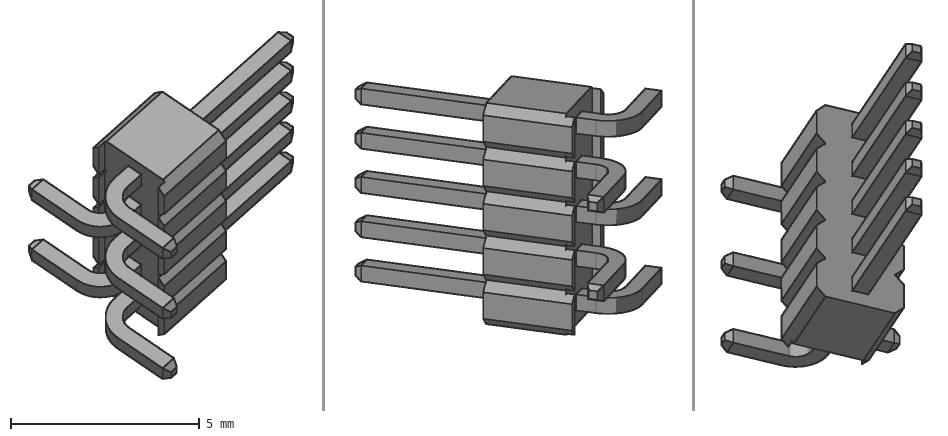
import cadquery as cq
import math

pin_count = 5
overall_length = 7.77
overall_width = 5.0
overall_height = 6.35
pitch = overall_height / pin_count

housing_width = 2.5
housing_depth = 2.5
edge_chamfer = 0.26
channel_depth = 0.25
channel_wall = 0.2

wire = 0.46
inner_bend_radius = 0.5
tip_length = 0.2
tip_width = 0.24
mating_length = 4.0

mating_tip_y = housing_depth + mating_length
tail_y = mating_tip_y - overall_length + wire / 2
tail_tip_x = overall_width / 2
bend_radius = inner_bend_radius + wire / 2
tip_taper = math.degrees(math.atan((wire - tip_width) / 2 / tip_length))

position_heights = [(i - (pin_count - 1) / 2) * pitch for i in range(pin_count)]


def housing_segment(z):
    """Block for one position, its four long edges bevelled along Y."""
    return (
        cq.Workplane("XY")
        .box(housing_width, housing_depth, pitch)
        .edges("|Y")
        .chamfer(edge_chamfer)
        .translate((0, housing_depth / 2, z))
    )


def make_housing():
    """Fused row of segments with a front channel and a square hole per pin."""
    body = housing_segment(position_heights[0])
    for z in position_heights[1:]:
        body = body.union(housing_segment(z))
    body = body.clean()

    channel = cq.Workplane("XY").box(
        housing_width - 2 * channel_wall, 2 * channel_depth, overall_height
    )
    body = body.cut(channel)

    for z in position_heights:
        hole = cq.Workplane("XY").box(wire, housing_depth, wire)
        hole = hole.translate((0, housing_depth / 2, z))
        body = body.cut(hole)
    return body


def pin_tip(plane):
    """Tapered end of the wire, starting at the plane and narrowing along its normal."""
    return cq.Workplane(plane).rect(wire, wire).extrude(tip_length, taper=tip_taper)


def make_pin(z, side):
    """Bent wire at height z, its tail pointing toward +X (side = 1) or -X (side = -1)."""
    mating_start = mating_tip_y - tip_length
    tail_end = side * (tail_tip_x - tip_length)
    diagonal = bend_radius * (1 - math.sqrt(0.5))

    path = (
        cq.Workplane("XY", origin=(0, 0, z))
        .moveTo(0, mating_start)
        .lineTo(0, tail_y + bend_radius)
        .threePointArc(
            (side * diagonal, tail_y + diagonal),
            (side * bend_radius, tail_y),
        )
        .lineTo(tail_end, tail_y)
    )
    mating_plane = cq.Plane((0, mating_start, z), xDir=(1, 0, 0), normal=(0, 1, 0))
    tail_plane = cq.Plane((tail_end, tail_y, z), xDir=(0, 1, 0), normal=(side, 0, 0))

    shank = cq.Workplane(mating_plane).rect(wire, wire).sweep(path)
    return shank.union(pin_tip(mating_plane)).union(pin_tip(tail_plane))


housing = make_housing()

pins = []
for index, height in enumerate(position_heights):
    tail_side = 1 if index % 2 == 0 else -1
    pins.append(make_pin(height, tail_side))

result = cq.Compound.makeCompound([housing.val(), *[pin.val() for pin in pins]])